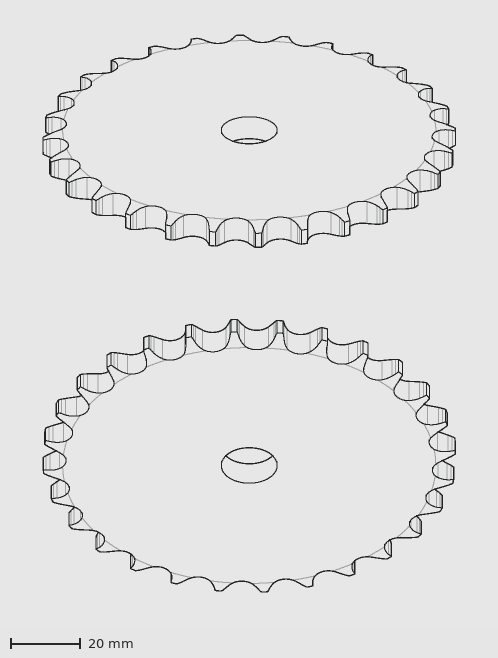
import cadquery as cq
import math


TEETH = 28
CHAIN_PITCH = 12.7
ROLLER_DIAMETER = 8.51
WIDTH = 7.2
OUTER_DIAMETER = 118.0
BORE_DIAMETER = 16.0
SIDE_ROUND_RADIUS = 13.0
SIDE_ROUND_DEPTH = 1.3

SEAT_CLEARANCE = 0.038
SEAT_RATIO = 0.5025
WORKING_OFFSET = 0.8 * ROLLER_DIAMETER
TOPPING_OFFSET = 1.4 * ROLLER_DIAMETER
SEAT_HALF_ANGLE = 55 - 60 / TEETH
WORKING_ANGLE = 18 - 56 / TEETH
TOP_ANGLE = 17 - 64 / TEETH

PITCH_RADIUS = CHAIN_PITCH / (2 * math.sin(math.pi / TEETH))
OUTER_RADIUS = OUTER_DIAMETER / 2
TOOTH_STEP = 360 / TEETH
SIDE_ROUND_START = OUTER_RADIUS - math.sqrt(
    SIDE_ROUND_RADIUS**2 - (SIDE_ROUND_RADIUS - SIDE_ROUND_DEPTH) ** 2
)
SEAT_RADIUS = SEAT_RATIO * ROLLER_DIAMETER + SEAT_CLEARANCE
WORKING_RADIUS = SEAT_RADIUS + WORKING_OFFSET
STRAIGHT_LENGTH = (
    TOPPING_OFFSET * math.sin(math.radians(TOP_ANGLE))
    - WORKING_OFFSET * math.sin(math.radians(WORKING_ANGLE))
)
TOPPING_RADIUS = (
    TOPPING_OFFSET * math.cos(math.radians(TOP_ANGLE))
    + WORKING_OFFSET * math.cos(math.radians(WORKING_ANGLE))
    - WORKING_RADIUS
)
TOPPING_ANGLE = 18
CUT_MARGIN = 5
CUT_RADIUS = OUTER_RADIUS + CUT_MARGIN


def polar(center, radius, angle):
    """Point at a radius and angle (degrees) from a center."""
    a = math.radians(angle)
    return (center[0] + radius * math.cos(a), center[1] + radius * math.sin(a))


def mirrored(point):
    """Point reflected to the other side of the gap."""
    return (-point[0], point[1])


def tooth_gap():
    """Cutter for the gap centered on +Y: seat, working arcs, straight flanks, topping arcs."""
    seat_center = (0, PITCH_RADIUS)
    seat_end_angle = SEAT_HALF_ANGLE - 90
    flank_angle = seat_end_angle + WORKING_ANGLE

    seat_bottom = polar(seat_center, SEAT_RADIUS, -90)
    seat_end = polar(seat_center, SEAT_RADIUS, seat_end_angle)

    working_center = polar(seat_end, -WORKING_RADIUS, seat_end_angle)
    working_mid = polar(working_center, WORKING_RADIUS, seat_end_angle + WORKING_ANGLE / 2)
    working_end = polar(working_center, WORKING_RADIUS, flank_angle)

    straight_end = polar(working_end, STRAIGHT_LENGTH, flank_angle + 90)

    topping_center = polar(straight_end, TOPPING_RADIUS, flank_angle)
    topping_start_angle = flank_angle + 180
    topping_mid = polar(topping_center, TOPPING_RADIUS, topping_start_angle - TOPPING_ANGLE / 2)
    topping_end = polar(topping_center, TOPPING_RADIUS, topping_start_angle - TOPPING_ANGLE)

    outer_corner = (topping_end[0], CUT_RADIUS)

    return (
        cq.Workplane("XY")
        .workplane(offset=-WIDTH / 2)
        .moveTo(*mirrored(seat_end))
        .threePointArc(seat_bottom, seat_end)
        .threePointArc(working_mid, working_end)
        .lineTo(*straight_end)
        .threePointArc(topping_mid, topping_end)
        .lineTo(*outer_corner)
        .lineTo(*mirrored(outer_corner))
        .lineTo(*mirrored(topping_end))
        .threePointArc(mirrored(topping_mid), mirrored(straight_end))
        .lineTo(*mirrored(working_end))
        .threePointArc(mirrored(working_mid), mirrored(seat_end))
        .close()
        .extrude(WIDTH)
    )


def blank():
    """Revolved disc with a bore and with sides that curve inwards near the rim."""
    half = WIDTH / 2
    bore = BORE_DIAMETER / 2

    def side_height(radius):
        run = radius - SIDE_ROUND_START
        return half - SIDE_ROUND_RADIUS + math.sqrt(SIDE_ROUND_RADIUS**2 - run**2)

    mid_radius = (SIDE_ROUND_START + OUTER_RADIUS) / 2
    mid_height = side_height(mid_radius)
    rim_height = side_height(OUTER_RADIUS)
    return (
        cq.Workplane("XZ")
        .moveTo(bore, -half)
        .lineTo(SIDE_ROUND_START, -half)
        .threePointArc((mid_radius, -mid_height), (OUTER_RADIUS, -rim_height))
        .lineTo(OUTER_RADIUS, rim_height)
        .threePointArc((mid_radius, mid_height), (SIDE_ROUND_START, half))
        .lineTo(bore, half)
        .close()
        .revolve(360, (0, 0, 0), (0, 1, 0))
    )


def sprocket():
    """Disc with equally spaced tooth gaps, one of them centered on +Y."""
    body = blank()
    gap = tooth_gap().val()
    axis_start = cq.Vector(0, 0, 0)
    axis_end = cq.Vector(0, 0, 1)
    gaps = [gap.rotate(axis_start, axis_end, i * TOOTH_STEP) for i in range(TEETH)]
    return cq.Workplane(obj=body.val().cut(*gaps))


result = sprocket()